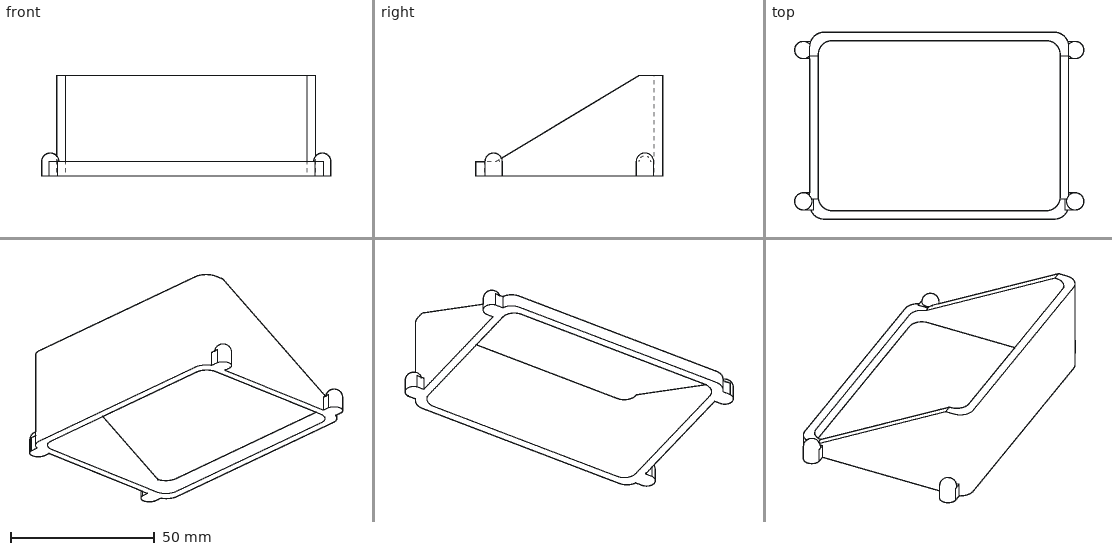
import cadquery as cq

frame_length = 89.9
frame_depth = 65.0
wall = 3.0
outer_radius = 5.0
inner_radius = 4.7

back_height = 35.0
rail_height = 5.0
back_land = 8.2
rail_land = 7.0

overall_length = 100.5
peg_radius = 3.0
peg_inset = 6.2

web_inner_x = 43.6
web_length = 4.0
web_width = 2 * peg_radius
web_step = 0.05

peg_x = overall_length / 2 - peg_radius
peg_y = frame_depth / 2 - peg_inset
web_center_x = web_inner_x + web_length / 2


def rounded_prism(length, depth, corner_radius):
    """Full-height block with rounded upright edges."""
    block = cq.Workplane("XY").rect(length, depth).extrude(back_height)
    return block.edges("|Z").fillet(corner_radius)


def make_frame():
    """Rounded rectangular tube, cut to the wedge-shaped side profile."""
    outside = rounded_prism(frame_length, frame_depth, outer_radius)
    opening = rounded_prism(frame_length - 2 * wall, frame_depth - 2 * wall, inner_radius)

    front_y = -frame_depth / 2
    back_y = frame_depth / 2
    side_profile = (
        cq.Workplane("YZ")
        .moveTo(front_y, 0)
        .lineTo(back_y, 0)
        .lineTo(back_y, back_height)
        .lineTo(back_y - back_land, back_height)
        .lineTo(front_y + rail_land, rail_height)
        .lineTo(front_y, rail_height)
        .close()
        .extrude(frame_length / 2, both=True)
    )
    return outside.cut(opening).intersect(side_profile)


def make_peg(x_side, y_side):
    """Domed peg with the web that joins it to the frame."""
    x = x_side * peg_x
    y = y_side * peg_y
    post = cq.Workplane("XY").center(x, y).circle(peg_radius).extrude(rail_height)
    dome = cq.Workplane("XY").sphere(peg_radius).translate((x, y, rail_height))
    web = (
        cq.Workplane("XY")
        .center(x_side * web_center_x, y)
        .rect(web_length, web_width)
        .extrude(rail_height + web_step)
    )
    return post.union(dome).union(web)


result = make_frame()
for x_side in (-1, 1):
    for y_side in (-1, 1):
        result = result.union(make_peg(x_side, y_side))